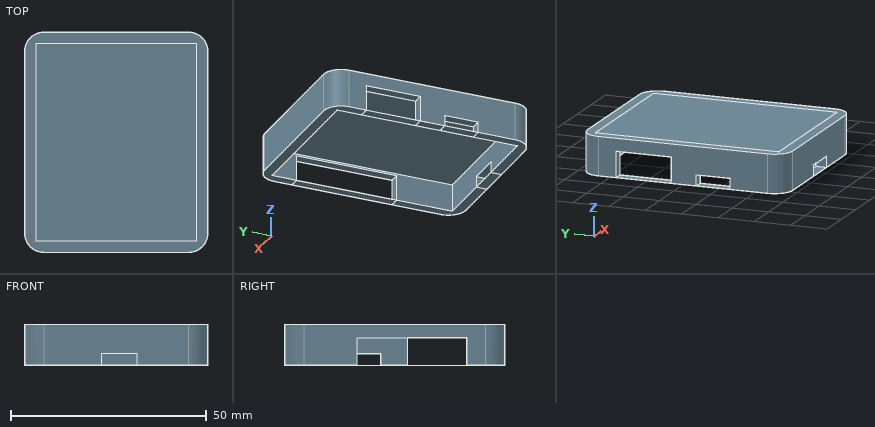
import cadquery as cq

width = 47.0
length = 56.5
height = 10.5
corner_radius = 5.0

wall = 3.0
lid_thickness = wall
inner_width = width - 2 * wall
inner_length = length - 2 * wall

sill = 0.01
port_top = 7.0
slot_top = 2.95

port_start = 3.3
port_end = 18.4
slot_start = -12.95
slot_end = -3.6

rear_start = -9.65
rear_end = port_end

front_slot_start = -3.8
front_slot_end = 5.35
front_slot_top = 3.0


def box_between(x_range, y_range, z_range):
    """Box spanning the given (low, high) range along each axis."""
    ranges = (x_range, y_range, z_range)
    sizes = [high - low for low, high in ranges]
    corner = tuple(low for low, high in ranges)
    return cq.Workplane("XY").box(*sizes, centered=False).translate(corner)


def make_frame():
    """Round-cornered wall with a rectangular opening right through it."""
    block = (
        cq.Workplane("XY")
        .rect(width, length)
        .extrude(height)
        .edges("|Z")
        .fillet(corner_radius)
    )
    opening = cq.Workplane("XY").rect(inner_width, inner_length).extrude(height)
    frame = block.cut(opening)

    left_wall = (-width / 2, -inner_width / 2)
    right_wall = (inner_width / 2, width / 2)
    front_wall = (-length / 2, -inner_length / 2)
    port_height = (sill, port_top)
    slot_height = (sill, slot_top)
    front_slot_height = (sill, front_slot_top)
    wall_openings = [
        box_between(left_wall, (port_start, port_end), port_height),
        box_between(left_wall, (slot_start, slot_end), slot_height),
        box_between(right_wall, (rear_start, rear_end), port_height),
        box_between((front_slot_start, front_slot_end), front_wall, front_slot_height),
    ]
    for wall_opening in wall_openings:
        frame = frame.cut(wall_opening)
    return frame


def make_lid():
    """Rectangular plate filling the frame opening, flush with its top."""
    return (
        cq.Workplane("XY")
        .workplane(offset=height - lid_thickness)
        .rect(inner_width, inner_length)
        .extrude(lid_thickness)
    )


frame = make_frame()
lid = make_lid()
result = cq.Compound.makeCompound([frame.val(), lid.val()])